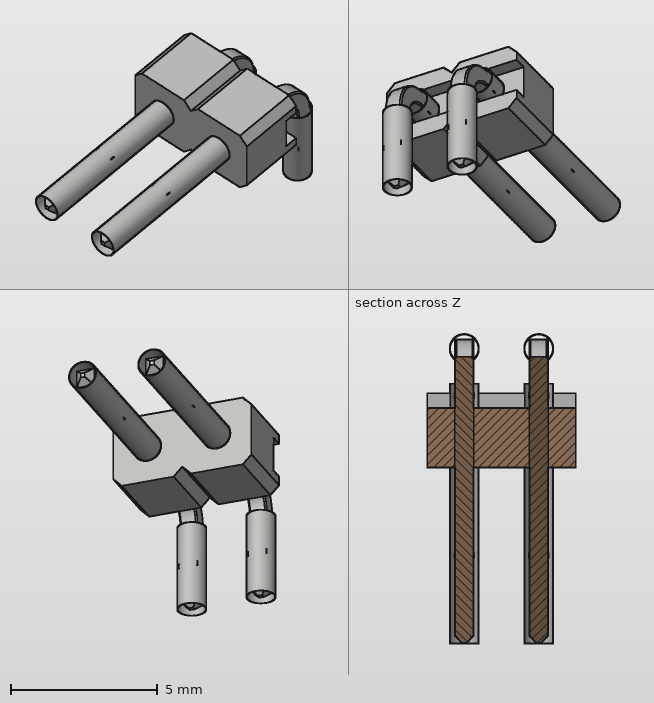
import cadquery as cq
import math

pin_count = 2
pitch = 2.54
total_length = 10.56
total_height = 5.54
axis_z = 0.0

housing_size = 2.55
housing_front = 6.0
housing_back = housing_front + housing_size
edge_chamfer = 0.32
slot_height = 1.25
slot_depth = 0.51
slot_floor = housing_back - slot_depth

pin_width = 0.63
bend_radius = 1.19
bend_chamfer = 0.05
tip_flat = 0.16
tip_length = 0.24
tip_recess = 0.02

sleeve_diameter = 1.0
sleeve_radius = sleeve_diameter / 2
sleeve_wall = 0.02
rib_thickness = 0.02
rib_length = 0.16
rib_bite = 0.005

leg_y = total_length - sleeve_radius
bend_start = leg_y - bend_radius
leg_top = axis_z - bend_radius
leg_bottom = axis_z + housing_size / 2 - total_height

pin_positions = [(i - (pin_count - 1) / 2) * pitch for i in range(pin_count)]


def box_between(x_range, y_range, z_range):
    """Box spanning the given coordinate ranges."""
    size = [r[1] - r[0] for r in (x_range, y_range, z_range)]
    corner = (x_range[0], y_range[0], z_range[0])
    return cq.Workplane("XY").box(*size, centered=False).translate(corner)


def make_housing():
    """Chamfered cells in a row, with a rear slot and a square hole for each pin."""
    half = housing_size / 2
    pin_half = pin_width / 2
    row_half = pin_count * pitch / 2
    flat = pitch / 2 - edge_chamfer
    shoulder = half - edge_chamfer

    upper = []
    for x in pin_positions:
        upper += [(x - pitch / 2, shoulder), (x - flat, half), (x + flat, half)]
    upper.append((row_half, shoulder))
    lower = [(-x, -z) for x, z in upper]
    body = (
        cq.Workplane("XZ", origin=(0, housing_front, axis_z))
        .polyline(upper + lower)
        .close()
        .extrude(-housing_size)
    )
    slot = box_between(
        (-row_half, row_half),
        (slot_floor, housing_back),
        (axis_z - slot_height / 2, axis_z + slot_height / 2),
    )
    body = body.cut(slot)
    for x in pin_positions:
        hole = box_between(
            (x - pin_half, x + pin_half),
            (housing_front, slot_floor),
            (axis_z - pin_half, axis_z + pin_half),
        )
        body = body.cut(hole)
    return body


def make_bend():
    """Quarter bend from the horizontal run to the leg, with chamfered long edges."""
    section = cq.Sketch().rect(pin_width, pin_width).vertices().chamfer(bend_chamfer)
    return (
        cq.Workplane("XZ", origin=(0, bend_start, axis_z))
        .placeSketch(section)
        .revolve(90, (0, -bend_radius, 0), (-1, -bend_radius, 0))
    )


def make_bar(plane, length):
    """Straight square stretch of the pin along the plane's normal."""
    return cq.Workplane(plane).rect(pin_width, pin_width).extrude(length)


def make_tip(plane):
    """Blunt pyramid tapering from the pin section along the plane's normal."""
    taper = math.degrees(math.atan2((pin_width - tip_flat) / 2, tip_length))
    return cq.Workplane(plane).rect(pin_width, pin_width).extrude(tip_length, taper=taper)


def make_sleeve(plane, length):
    """Thin tube along the plane's normal, with diagonal ribs that reach the pin corners."""
    inner_radius = sleeve_radius - sleeve_wall
    tube = cq.Workplane(plane).circle(sleeve_radius).circle(inner_radius).extrude(length)
    rib_span = 2 * (inner_radius + rib_bite)
    for angle in (45, 135):
        rib = (
            cq.Workplane(plane)
            .workplane(offset=(length - rib_length) / 2)
            .transformed(rotate=(0, 0, angle))
            .rect(rib_span, rib_thickness)
            .extrude(rib_length)
        )
        tube = tube.union(rib)
    return tube


def make_pin():
    """Right-angle square pin at x = 0 with its sleeves, as one solid."""
    front_shoulder = tip_recess + tip_length
    leg_shoulder = leg_bottom + tip_recess + tip_length
    forward = (0, -1, 0)
    down = (0, 0, -1)
    across = (1, 0, 0)

    pin = make_bend()

    front_plane = cq.Plane((0, housing_front, axis_z), across, forward)
    rear_plane = cq.Plane((0, bend_start, axis_z), across, forward)
    leg_plane = cq.Plane((0, leg_y, leg_top), across, down)
    pin = pin.union(make_bar(rear_plane, bend_start - front_shoulder))
    pin = pin.union(make_bar(leg_plane, leg_top - leg_shoulder))
    pin = pin.union(make_sleeve(front_plane, housing_front))
    pin = pin.union(make_sleeve(rear_plane, bend_start - slot_floor))
    pin = pin.union(make_sleeve(leg_plane, leg_top - leg_bottom))
    pin = pin.union(make_tip(cq.Plane((0, front_shoulder, axis_z), across, forward)))
    pin = pin.union(make_tip(cq.Plane((0, leg_y, leg_shoulder), across, down)))
    return pin


housing = make_housing()
pin = make_pin()
pins = [pin.translate((x, 0, 0)).solids().val() for x in pin_positions]

result = cq.Compound.makeCompound([housing.solids().val(), *pins])